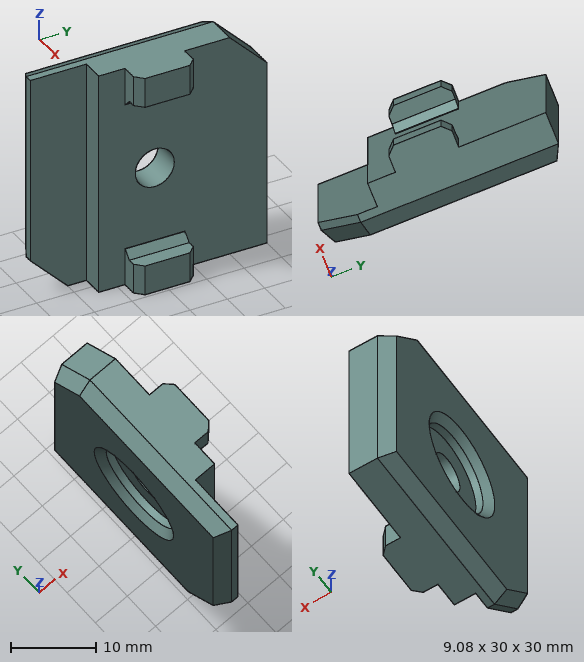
import cadquery as cq
import math

side = 30.0
half = side / 2
plate_thickness = 6.0
corner_cut = 5.0

bevel_depth = 2.0
bevel_inset = 1.0

strip_thickness = 3.0
strip_width = 7.5

hole_diameter = 5.2
recess_diameter = 12.0
recess_depth = 2.0
recess_bevel = 1.0
recess_bevel_depth = 1.0

tab_standoff = 0.08
tab_length = 3.0
tab_width = 8.0
tab_height = 4.0
tab_chamfer = 1.0
tab_gusset = 1.0


def plate_outline(inset, x):
    """Closed outline of the plate at depth x, moved inward by inset."""
    edge = half - inset
    cut_end = side - corner_cut - inset * math.sqrt(2) - edge
    points = [
        (-edge, edge),
        (cut_end, edge),
        (edge, cut_end),
        (edge, -edge),
        (-cut_end, -edge),
        (-edge, -cut_end),
    ]
    return cq.Workplane("YZ", origin=(x, 0, 0)).polyline(points).close()


def make_plate():
    front = plate_outline(bevel_inset, 0).wires().vals()[0]
    rim = plate_outline(0, bevel_depth).wires().vals()[0]
    bevelled = cq.Workplane(cq.Solid.makeLoft([front, rim], True))
    body = plate_outline(0, bevel_depth).extrude(plate_thickness - bevel_depth)
    return bevelled.union(body)


def make_strip_cut():
    strip_step = plate_thickness - strip_thickness
    block = cq.Workplane("XY").box(strip_step, strip_width, side, centered=(False, False, True))
    return block.translate((strip_thickness, -half, 0))


def make_hole_and_recess():
    """Revolved cutter: through hole, flat recess and its flared mouth."""
    recess_radius = recess_diameter / 2
    profile = [
        (0, 0),
        (0, recess_radius + recess_bevel),
        (recess_bevel_depth, recess_radius),
        (recess_depth, recess_radius),
        (recess_depth, hole_diameter / 2),
        (plate_thickness, hole_diameter / 2),
        (plate_thickness, 0),
    ]
    return cq.Workplane("XY").polyline(profile).close().revolve(360, (0, 0, 0), (1, 0, 0))


def make_top_tab():
    tab_bottom = half - tab_height
    gusset_bottom = tab_bottom - tab_gusset
    gusset_start = plate_thickness + tab_standoff
    tab_end = gusset_start + tab_length
    profile = [
        (strip_thickness, half),
        (tab_end, half),
        (tab_end, tab_bottom),
        (gusset_start + tab_gusset, tab_bottom),
        (gusset_start, gusset_bottom),
        (strip_thickness, gusset_bottom),
    ]
    tab = cq.Workplane("XZ").polyline(profile).close().extrude(tab_width / 2, both=True)
    return tab.faces(">X").edges("|Z").chamfer(tab_chamfer)


top_tab = make_top_tab()
bottom_tab = top_tab.mirror("XY")

result = (
    make_plate()
    .cut(make_strip_cut())
    .cut(make_hole_and_recess())
    .union(top_tab)
    .union(bottom_tab)
)